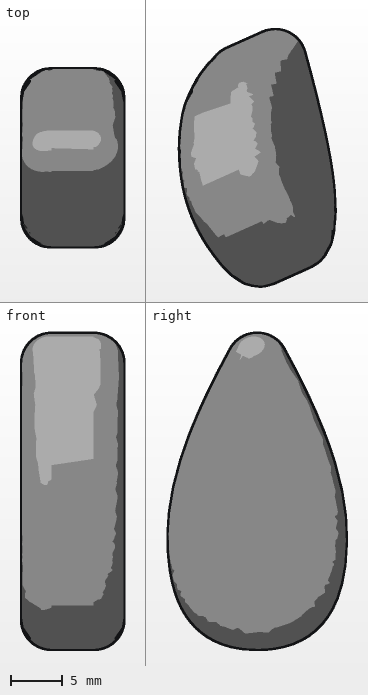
import cadquery as cq

thickness = 10.0
height = 30.55
edge_radius = 3.0

face_tip = height / 2 - edge_radius
face_bottom = -face_tip
flat_thickness = thickness - 2 * edge_radius

shoulder_offset, shoulder_height = 9.25, -4.65
belly_offset, belly_height = 3.55, -4.15
bottom_offset = 7.88


def flank_points(side):
    """Control points from the tip to the bottom, on the +Y (1) or -Y (-1) side."""
    return [
        (0, face_tip),
        (side * shoulder_offset, shoulder_height),
        (side * belly_offset, belly_height),
        (side * bottom_offset, face_bottom),
        (0, face_bottom),
    ]


def teardrop_core():
    """Teardrop prism with a sharp tip at +Z, centred on X = 0."""
    return (
        cq.Workplane("YZ", origin=(-flat_thickness / 2, 0, 0))
        .bezier(flank_points(1))
        .bezier(flank_points(-1)[::-1])
        .close()
        .extrude(flat_thickness)
    )


def rounded_teardrop():
    """Core grown outward by the edge radius, which rounds every edge and the tip."""
    core = teardrop_core()
    rounded_skin = core.shell(edge_radius, kind="arc")
    return rounded_skin.union(core)


result = rounded_teardrop()